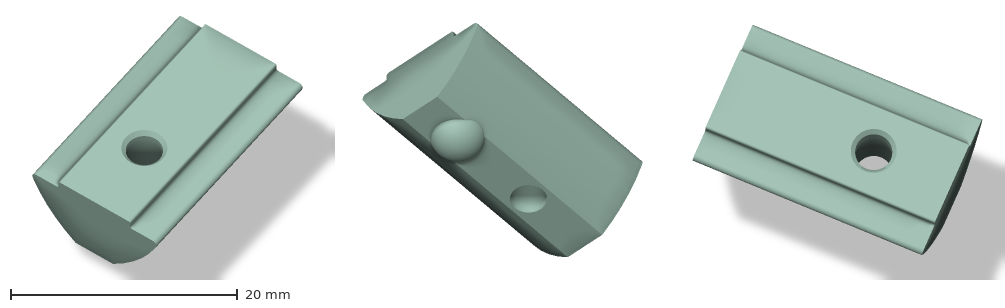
import cadquery as cq
import math

length = 22.0
width = 13.5
body_height = 7.25
ledge_height = 6.45
rib_width = 7.8
rib_radius = 0.2
bottom_width = 4.05
tip_radius = 0.45
flank_start_angle = 24.0
flank_flat_length = 0.15

hole_diameter = 3.28
countersink_diameter = 4.05
countersink_angle = 90.0
hole_y = -3.48

ball_radius = 2.5
ball_projection = 1.7
ball_y = 6.0


def make_body():
    """Extrude half of the profile, mirror it and round the rib edges."""
    tip_x = width / 2 - tip_radius
    tip_z = ledge_height - tip_radius

    def tip_point(angle):
        radians = math.radians(angle)
        return (tip_x + tip_radius * math.cos(radians), tip_z + tip_radius * math.sin(radians))

    slope = math.radians(flank_start_angle)
    flat_run = flank_flat_length * math.sin(slope)
    flat_drop = flank_flat_length * math.cos(slope)

    half = (
        cq.Workplane("XZ")
        .moveTo(0, body_height)
        .lineTo(rib_width / 2, body_height)
        .lineTo(rib_width / 2, ledge_height)
        .lineTo(tip_x, ledge_height)
        .threePointArc(tip_point(0), tip_point(-flank_start_angle))
        .line(-flat_run, -flat_drop)
        .tangentArcPoint((bottom_width / 2, 0), relative=False)
        .lineTo(0, 0)
        .close()
        .extrude(length / 2, both=True)
    )
    rib_mid_height = (body_height + ledge_height) / 2
    rib_side = cq.selectors.NearestToPointSelector((rib_width / 2, 0, rib_mid_height))
    half = half.faces(rib_side).edges("|Y").fillet(rib_radius)
    return half.union(half.mirror("YZ"))


def make_ball():
    """Ball that protrudes from the narrow bottom face."""
    return cq.Workplane("XY").sphere(ball_radius).translate((0, ball_y, ball_radius - ball_projection))


def add_hole(body):
    """Countersunk through hole from the top of the rib."""
    return (
        body.faces(">Z")
        .workplane(origin=(0, hole_y, body_height))
        .cskHole(hole_diameter, countersink_diameter, countersink_angle)
    )


result = add_hole(make_body().union(make_ball()))